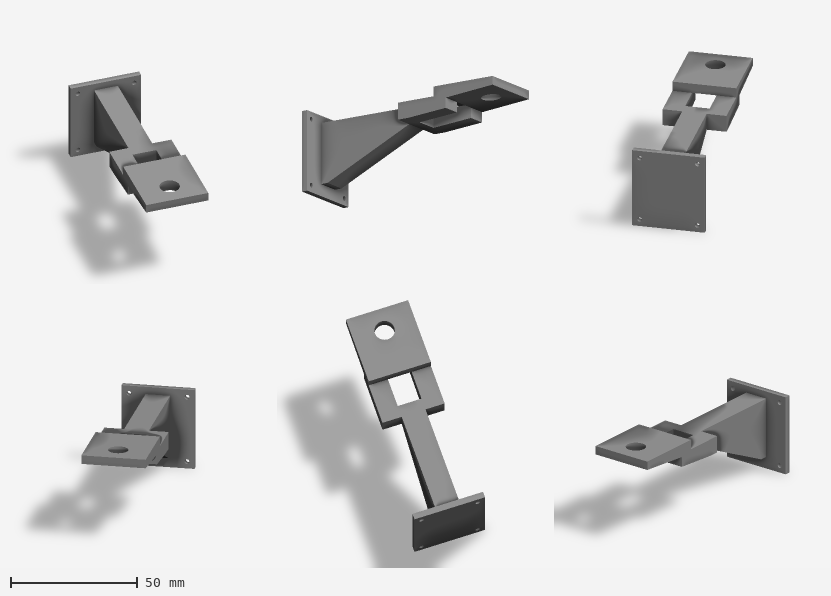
import cadquery as cq

length = 89.5

plate_thickness = 2.5
plate_width = 29.45
plate_top = -1.0
plate_bottom = -34.0
screw_diameter = 2.0
screw_spacing_y = 23.45
screw_spacing_z = 27.0
screw_center_z = -17.6

arm_width = 9.9
arm_top = -4.0
arm_bottom = -29.1
arm_foot_end = 5.6
crossbar_start = 44.5
crossbar_end = 49.4
crossbar_bottom = -11.0
head_width = 25.95
fork_end = 67.2
fork_tip_bottom = -9.7

platform_start = 61.5
platform_heel_bottom = -5.5
platform_tip_bottom = -3.6
hole_diameter = 8.05
hole_x = 80.2


def extrude_profile(points, width):
    """Side profile in XZ, extruded symmetrically about the XZ plane."""
    return cq.Workplane("XZ").polyline(points).close().extrude(width / 2, both=True)


def make_plate():
    height = plate_top - plate_bottom
    plate = cq.Workplane("XY").box(plate_thickness, plate_width, height, centered=(False, True, False))
    plate = plate.translate((0, 0, plate_bottom))
    screws = (
        cq.Workplane("YZ")
        .center(0, screw_center_z)
        .rarray(screw_spacing_y, screw_spacing_z, 2, 2)
        .circle(screw_diameter / 2)
        .extrude(plate_thickness)
    )
    return plate.cut(screws)


def make_arm():
    return extrude_profile(
        [
            (plate_thickness, arm_top),
            (crossbar_start, arm_top),
            (crossbar_start, crossbar_bottom),
            (arm_foot_end, arm_bottom),
            (plate_thickness, arm_bottom),
        ],
        arm_width,
    )


def make_head():
    """Crossbar, two fork tines and the raised platform that bridges them."""
    outline = [
        (crossbar_start, arm_top),
        (platform_start, arm_top),
        (platform_start, 0),
        (length, 0),
        (length, platform_tip_bottom),
        (fork_end, platform_heel_bottom),
        (fork_end, fork_tip_bottom),
        (crossbar_end, crossbar_bottom),
        (crossbar_start, crossbar_bottom),
    ]
    gap = extrude_profile(
        [
            (crossbar_end, arm_top),
            (fork_end, arm_top),
            (fork_end, crossbar_bottom),
            (crossbar_end, crossbar_bottom),
        ],
        arm_width,
    )
    hole = (
        cq.Workplane("XY")
        .center(hole_x, 0)
        .circle(hole_diameter / 2)
        .extrude(platform_heel_bottom)
    )
    return extrude_profile(outline, head_width).cut(gap).cut(hole)


result = make_plate().union(make_arm()).union(make_head())